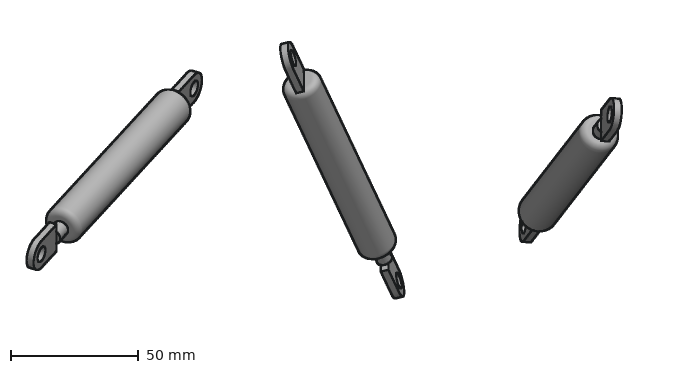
import cadquery as cq

total_length = 138.5
end_y = total_length / 2

lug_width = 13.0
lug_thickness = 3.2
lug_length = 19.0
lug_hole_diameter = 6.4

cylinder_diameter = 15.8
cylinder_edge_radius = 2.9
rod_diameter = 6.4
rod_exposed_length = 6.5

lug_base_y = end_y - lug_length
cylinder_front_y = -lug_base_y + rod_exposed_length
cylinder_length = lug_base_y - cylinder_front_y


def round_bar(diameter, start_y, length):
    """Round bar along +Y from start_y."""
    plane = cq.Plane(origin=(0, start_y, 0), xDir=(1, 0, 0), normal=(0, 1, 0))
    return cq.Workplane(plane).circle(diameter / 2).extrude(length)


def lug(direction):
    """Flat lug with a rounded tip and a cross hole, pointing along Y (+1 or -1)."""
    half_width = lug_width / 2
    base_y = direction * lug_base_y
    tip_y = direction * end_y
    eye_y = tip_y - direction * half_width
    return (
        cq.Workplane("YZ")
        .moveTo(base_y, -half_width)
        .lineTo(eye_y, -half_width)
        .threePointArc((tip_y, 0), (eye_y, half_width))
        .lineTo(base_y, half_width)
        .close()
        .moveTo(eye_y, 0)
        .circle(lug_hole_diameter / 2)
        .extrude(lug_thickness / 2, both=True)
    )


def make_cylinder():
    """Cylinder with rounded end edges and its rear lug."""
    barrel = round_bar(cylinder_diameter, cylinder_front_y, cylinder_length)
    barrel = barrel.edges("%CIRCLE").fillet(cylinder_edge_radius)
    return barrel.union(lug(1))


def make_piston_rod():
    """Exposed rod, seated against the cylinder's front face, and its front lug."""
    rod = round_bar(rod_diameter, -lug_base_y, rod_exposed_length)
    return rod.union(lug(-1))


cylinder = make_cylinder()
piston_rod = make_piston_rod()

result = cq.Compound.makeCompound([cylinder.val(), piston_rod.val()])